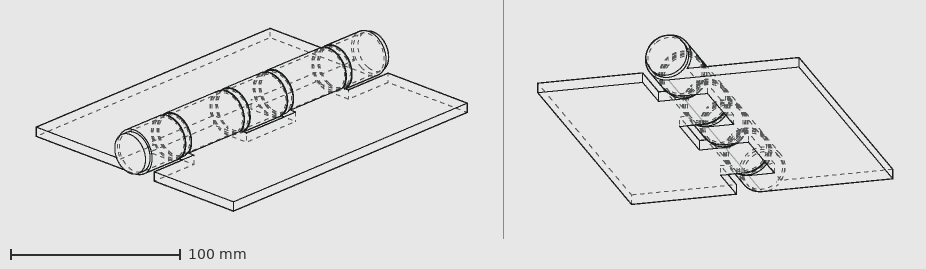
import cadquery as cq

hinge_width = 160.0
pin_length = 208.0
leaf_length = 200.0
leaf_thickness = 6.0

barrel_radius = 28.0 / 2
washer_radius = 27.0 / 2
pin_radius = 25.0 / 2

notch_clearance = 1.7
notch_edge = barrel_radius + notch_clearance

center_knuckle_length = 32.0
end_knuckle_length = 29.0
washer_thickness = 5.0

leaf_end = leaf_length / 2
end_knuckle_inner = leaf_end - end_knuckle_length
right_knuckle_outer = end_knuckle_inner - washer_thickness
center_knuckle_end = center_knuckle_length / 2
right_knuckle_inner = center_knuckle_end + washer_thickness

left_knuckles = [
    (-leaf_end, -end_knuckle_inner),
    (-center_knuckle_end, center_knuckle_end),
    (end_knuckle_inner, leaf_end),
]
right_knuckles = [
    (-right_knuckle_outer, -right_knuckle_inner),
    (right_knuckle_inner, right_knuckle_outer),
]
washer_starts = [
    -end_knuckle_inner,
    -right_knuckle_inner,
    center_knuckle_end,
    right_knuckle_outer,
]


def cylinder(radius, y_start, y_end):
    """Solid cylinder on the pin axis from y_start to y_end."""
    base = cq.Workplane("XZ", origin=(0, y_start, 0))
    return base.circle(radius).extrude(y_start - y_end)


def plate(side, x_inner, x_outer, y_start, y_end):
    """Flat stock whose underside is tangent to the bottom of the barrels."""
    size_x = x_outer - x_inner
    return cq.Workplane("XY").box(size_x, y_end - y_start, leaf_thickness).translate((
        side * (x_inner + x_outer) / 2,
        (y_start + y_end) / 2,
        -barrel_radius + leaf_thickness / 2,
    ))


def make_leaf(side, knuckles):
    """Leaf on one side (-1 left, +1 right) with its knuckles bored for the pin."""
    leaf = plate(side, notch_edge, hinge_width / 2, -leaf_end, leaf_end)
    for y_start, y_end in knuckles:
        leaf = leaf.union(plate(side, 0, notch_edge, y_start, y_end))
        leaf = leaf.union(cylinder(barrel_radius, y_start, y_end))
    return leaf.cut(cylinder(pin_radius, -leaf_end, leaf_end))


def make_washer(y_start):
    """Ring that fills the space between two neighbouring knuckles."""
    y_end = y_start + washer_thickness
    ring = cylinder(washer_radius, y_start, y_end)
    return ring.cut(cylinder(pin_radius, y_start, y_end))


left_leaf = make_leaf(-1, left_knuckles)
right_leaf = make_leaf(1, right_knuckles)
pin = cylinder(pin_radius, -pin_length / 2, pin_length / 2)
washers = [make_washer(y_start) for y_start in washer_starts]

result = cq.Compound.makeCompound([
    left_leaf.val(),
    right_leaf.val(),
    pin.val(),
    *[washer.val() for washer in washers],
])